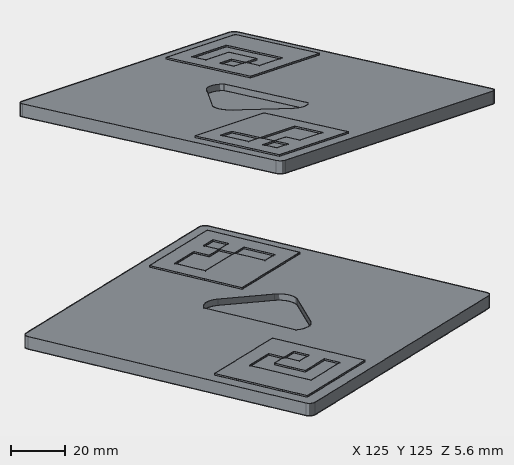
import cadquery as cq
import math

PLATE_SIDE = 125.0
PLATE_THICKNESS = 5.0
CORNER_RADIUS = 2.5

TAG_HEIGHT = 0.6
TAG_SIDE = 40.0
TAG_CELLS = 6
TAG_EDGE_GAP = 5.0
CELL = TAG_SIDE / TAG_CELLS
TAG_OFFSET = PLATE_SIDE / 2 - TAG_EDGE_GAP - TAG_SIDE / 2

UPPER_LEFT_PATTERN = [
    "######",
    "######",
    "#....#",
    "#.##.#",
    "#.#.##",
    "######",
]
LOWER_RIGHT_PATTERN = [
    "######",
    "###..#",
    "###..#",
    "###.##",
    "#..#.#",
    "######",
]

POCKET_DEPTH = 2.5
POCKET_END_RADIUS = 7.0
POCKET_END_OFFSET = 15.0
POCKET_TOP_Y = 5.0


def make_plate():
    plate = cq.Workplane("XY").rect(PLATE_SIDE, PLATE_SIDE).extrude(PLATE_THICKNESS)
    return plate.edges("|Z").fillet(CORNER_RADIUS)


def make_tag(center_x, center_y, pattern):
    """Raised square whose "." cells are left open."""
    face = cq.Workplane("XY", origin=(center_x, center_y, PLATE_THICKNESS))
    middle = (TAG_CELLS - 1) / 2
    sunk_cells = [
        ((column - middle) * CELL, (middle - row) * CELL)
        for row, cells in enumerate(pattern)
        for column, cell in enumerate(cells)
        if cell == "."
    ]
    openings = face.pushPoints(sunk_cells).rect(CELL, CELL).extrude(TAG_HEIGHT)
    return face.rect(TAG_SIDE, TAG_SIDE).extrude(TAG_HEIGHT).cut(openings)


def make_pocket():
    """Outline tangent at the 45 degree sides; the upper arcs stop at the straight +Y side."""
    radius = POCKET_END_RADIUS
    end = POCKET_END_OFFSET
    diagonal = radius * math.sqrt(0.5)
    top_x = end + math.sqrt(radius**2 - POCKET_TOP_Y**2)
    return (
        cq.Workplane("XY", origin=(0, 0, PLATE_THICKNESS))
        .moveTo(-top_x, POCKET_TOP_Y)
        .lineTo(top_x, POCKET_TOP_Y)
        .threePointArc((end + radius, 0), (end + diagonal, -diagonal))
        .lineTo(diagonal, -end - diagonal)
        .threePointArc((0, -end - radius), (-diagonal, -end - diagonal))
        .lineTo(-end - diagonal, -diagonal)
        .threePointArc((-end - radius, 0), (-top_x, POCKET_TOP_Y))
        .close()
        .extrude(-POCKET_DEPTH)
    )


result = (
    make_plate()
    .cut(make_pocket())
    .union(make_tag(-TAG_OFFSET, TAG_OFFSET, UPPER_LEFT_PATTERN))
    .union(make_tag(TAG_OFFSET, -TAG_OFFSET, LOWER_RIGHT_PATTERN))
)